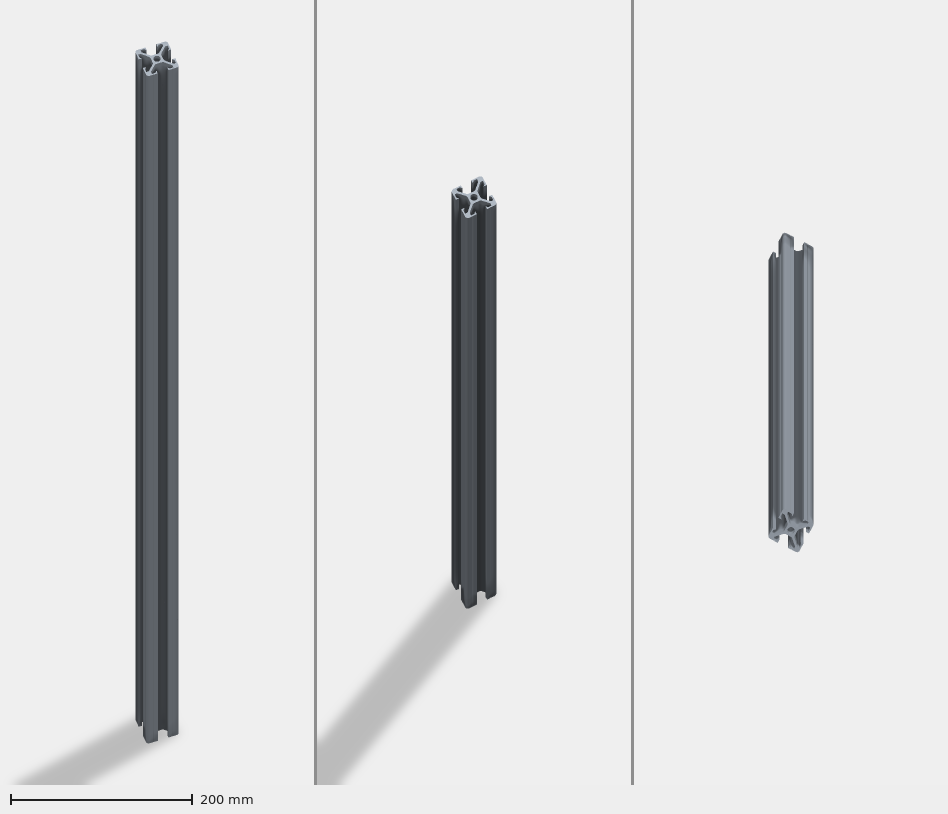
import cadquery as cq
import math

side = 38.1
length = 1219.2
corner_radius = 3.175
slot_opening = 12.7
slot_inner_width = 25.4
slot_depth = 12.7
lip_thickness = 1.6
barb_depth = 3.9
barb_width = 2.2
web_thickness = 2.5
floor_fillet_radius = 4.0
bore_diameter = 8.0
groove_offset = 11.0
groove_width = 0.8
groove_depth = 0.4

half_side = side / 2
half_opening = slot_opening / 2
half_inner = slot_inner_width / 2
floor_distance = half_side - slot_depth
lip_distance = half_side - lip_thickness
barb_distance = half_side - barb_depth
flank_offset = web_thickness / math.sqrt(2)
floor_half_width = floor_distance - flank_offset
flank_end_distance = half_inner + flank_offset


def blank():
    """Square bar with rounded long edges, standing on the XY plane."""
    return cq.Workplane("XY").rect(side, side).extrude(length).edges("|Z").fillet(corner_radius)


def slot():
    """Cutter for the T-slot in the +Y face, with barbed lips, 45 degree flanks and a rounded floor."""
    right_half = [
        (floor_half_width, floor_distance),
        (half_inner, flank_end_distance),
        (half_inner, lip_distance),
        (half_opening + barb_width, lip_distance),
        (half_opening, barb_distance),
        (half_opening, half_side),
    ]
    left_half = [(-x, y) for x, y in reversed(right_half)]
    cutter = cq.Workplane("XY").polyline(right_half + left_half).close().extrude(length)
    return cutter.edges("|Z and <Y").fillet(floor_fillet_radius)


def groove(x):
    """Cutter for a shallow V-groove along the +Y face, centred at x."""
    outline = [
        (x - groove_width / 2, half_side),
        (x, half_side - groove_depth),
        (x + groove_width / 2, half_side),
    ]
    return cq.Workplane("XY").polyline(outline).close().extrude(length)


def bore():
    """Cutter for the round hole along the axis."""
    return cq.Workplane("XY").circle(bore_diameter / 2).extrude(length)


result = blank().cut(bore())
for angle in (0, 90, 180, 270):
    for cutter in (slot(), groove(-groove_offset), groove(groove_offset)):
        result = result.cut(cutter.rotate((0, 0, 0), (0, 0, 1), angle))

result = result.translate((0, 0, -length / 2))